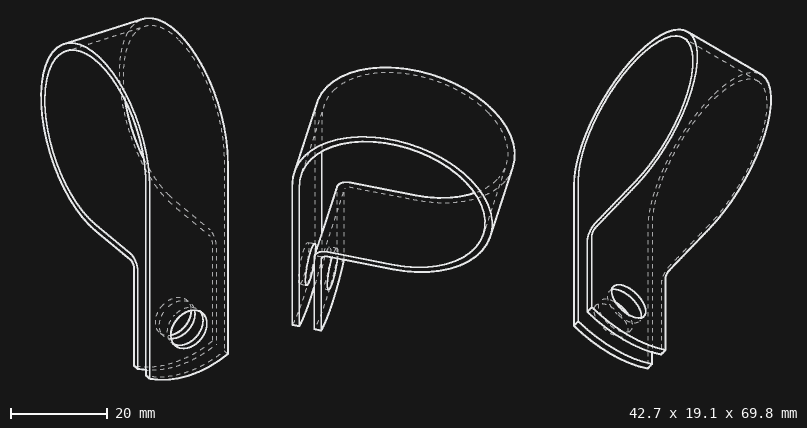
import cadquery as cq
import math

height = 69.75
width = 19.05
loop_diameter = 42.7
thickness = 1.5

leg_gap = 3.15
bend_inner_radius = 1.4
hole_diameter = 8.8
hole_above_tip = 11.15
tip_rise = 2.2

outer_radius = loop_diameter / 2
inner_radius = outer_radius - thickness
bend_outer_radius = bend_inner_radius + thickness
tip_z = outer_radius - height
long_leg_inner_x = inner_radius
short_leg_right_x = long_leg_inner_x - leg_gap
short_leg_left_x = short_leg_right_x - thickness
bend_x = short_leg_right_x - bend_outer_radius
bend_z = -inner_radius - bend_outer_radius
diagonal = math.sqrt(0.5)


def make_strap():
    """Bent strip: long leg, three-quarter loop, shelf and short leg."""
    return (
        cq.Workplane("XZ")
        .moveTo(outer_radius, tip_z)
        .lineTo(outer_radius, 0)
        .threePointArc((-outer_radius * diagonal, outer_radius * diagonal), (0, -outer_radius))
        .lineTo(bend_x, -outer_radius)
        .threePointArc(
            (bend_x + bend_inner_radius * diagonal, bend_z + bend_inner_radius * diagonal),
            (short_leg_left_x, bend_z),
        )
        .lineTo(short_leg_left_x, tip_z)
        .lineTo(short_leg_right_x, tip_z)
        .lineTo(short_leg_right_x, bend_z)
        .threePointArc(
            (bend_x + bend_outer_radius * diagonal, bend_z + bend_outer_radius * diagonal),
            (bend_x, -inner_radius),
        )
        .lineTo(0, -inner_radius)
        .threePointArc((-inner_radius * diagonal, inner_radius * diagonal), (inner_radius, 0))
        .lineTo(long_leg_inner_x, tip_z)
        .close()
        .extrude(width / 2, both=True)
    )


def make_side_outline():
    """Block across both legs with a rounded lower end."""
    half_width = width / 2
    return (
        cq.Workplane("YZ")
        .moveTo(-half_width, outer_radius)
        .lineTo(-half_width, tip_z + tip_rise)
        .threePointArc((0, tip_z), (half_width, tip_z + tip_rise))
        .lineTo(half_width, outer_radius)
        .close()
        .extrude(outer_radius, both=True)
    )


def make_bolt_hole():
    """Cylinder along X passing through both legs."""
    return (
        cq.Workplane("YZ")
        .center(0, tip_z + hole_above_tip)
        .circle(hole_diameter / 2)
        .extrude(outer_radius, both=True)
    )


result = make_strap().intersect(make_side_outline()).cut(make_bolt_hole())